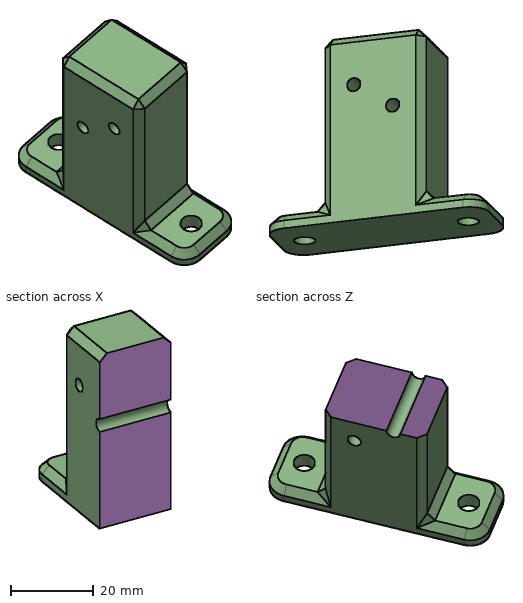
import cadquery as cq

length = 56.0
depth = 20.0
height = 48.0

bevel = 2.0
base_thickness = 2 * bevel
base_corner_radius = 5.0
post_width = 26.0

mount_hole_diameter = 5.2
mount_hole_spacing = 42.0

cross_hole_diameter = 3.4
cross_hole_offset = 5.0
lower_cross_hole_height = 28.5
upper_cross_hole_height = 35.0


def make_base():
    """Rounded plate with a bevelled top rim."""
    plate = cq.Workplane("XY").box(length, depth, base_thickness, centered=(True, True, False))
    return plate.edges("|Z").fillet(base_corner_radius).faces(">Z").edges().chamfer(bevel)


def make_post():
    """Upright block with bevelled corners and top rim."""
    block = cq.Workplane("XY").box(post_width, depth, height, centered=(True, True, False))
    return block.edges("|Z or >Z").chamfer(bevel)


def make_gusset(side):
    """Sloped wedge between post and foot, tapering at both ends to the bevel corners."""
    half_depth = depth / 2
    wall = post_width / 2

    def end_points(end):
        inset_y = end * (half_depth - bevel)
        return (
            cq.Vector(side * (wall + bevel), inset_y, base_thickness),
            cq.Vector(side * wall, inset_y, base_thickness + bevel),
            cq.Vector(side * (wall - bevel), end * half_depth, base_thickness - bevel),
        )

    front_foot, front_wall, front_tip = end_points(-1)
    back_foot, back_wall, back_tip = end_points(1)
    outlines = [
        [front_foot, front_wall, front_tip],
        [back_foot, back_wall, back_tip],
        [front_foot, back_foot, back_wall, front_wall],
        [front_foot, back_foot, back_tip, front_tip],
        [front_wall, back_wall, back_tip, front_tip],
    ]
    faces = [cq.Face.makeFromWires(cq.Wire.makePolygon(points, close=True)) for points in outlines]
    return cq.Workplane(cq.Solid.makeSolid(cq.Shell.makeShell(faces)))


body = make_base().union(make_post())
for side in (-1, 1):
    body = body.union(make_gusset(side))

mount_holes = (
    cq.Workplane("XY")
    .pushPoints([(-mount_hole_spacing / 2, 0), (mount_hole_spacing / 2, 0)])
    .circle(mount_hole_diameter / 2)
    .extrude(base_thickness)
)

cross_holes = (
    cq.Workplane("XZ")
    .pushPoints([
        (-cross_hole_offset, lower_cross_hole_height),
        (cross_hole_offset, upper_cross_hole_height),
    ])
    .circle(cross_hole_diameter / 2)
    .extrude(depth / 2, both=True)
)

result = body.cut(mount_holes).cut(cross_holes)